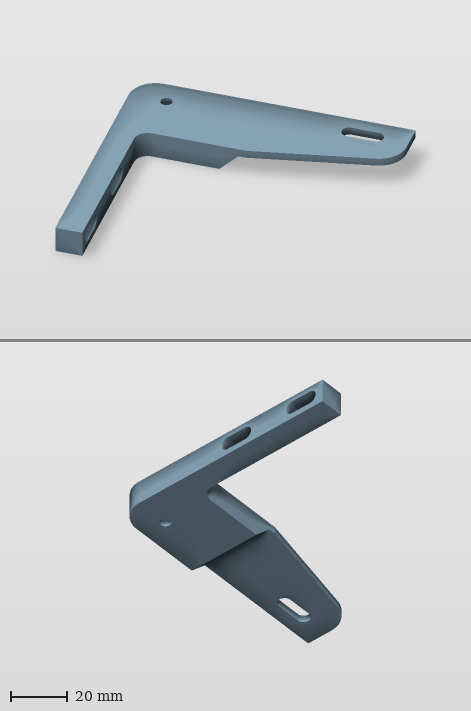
import cadquery as cq

length = 103.0
depth = 95.0
thickness = 10.0
arm_width = 10.0
plate_depth = 30.0
plate_thickness = 3.0
outer_radius = 10.0
inner_radius = 5.0
tip_depth = 19.0
taper_start = 50.0

ramp_start = 40.0
ramp_height = thickness - plate_thickness

pin_diameter = 4.3
pin_x = 14.0
pin_y = -10.0
slot_width = 5.4
plate_slot_length = 15.5
plate_slot_x = 86.0
plate_slot_y = -8.0
arm_slot_length = 13.5
arm_slot_positions = (-55.0, -85.0)


def bracket_body():
    """Full-thickness L-shaped body with a tapered free end and rounded corners."""
    body = (
        cq.Workplane("XY")
        .polyline([
            (0, 0),
            (length, 0),
            (length, -tip_depth),
            (taper_start, -plate_depth),
            (arm_width, -plate_depth),
            (arm_width, -depth),
            (0, -depth),
        ])
        .close()
        .extrude(-thickness)
    )
    mid_height = -thickness / 2
    for x, y, radius in (
        (0, 0, outer_radius),
        (length, -tip_depth, outer_radius),
        (arm_width, -plate_depth, inner_radius),
    ):
        corner = cq.selectors.NearestToPointSelector((x, y, mid_height))
        body = body.edges("|Z").edges(corner).fillet(radius)
    return body


def underside_relief():
    """Material removed below the thin plate, starting with the ramp."""
    return (
        cq.Workplane("XZ")
        .polyline([
            (ramp_start, -thickness),
            (ramp_start + ramp_height, -plate_thickness),
            (length, -plate_thickness),
            (length, -thickness),
        ])
        .close()
        .extrude(depth)
    )


def plate_openings():
    """Round hole near the corner and slot near the free end, both along Z."""
    pin_hole = cq.Workplane("XY").center(pin_x, pin_y).circle(pin_diameter / 2).extrude(-thickness)
    slot = (
        cq.Workplane("XY")
        .center(plate_slot_x, plate_slot_y)
        .slot2D(plate_slot_length, slot_width)
        .extrude(-thickness)
    )
    return pin_hole.union(slot)


def arm_slots():
    """Slots passing through the arm along X."""
    centers = [(y, -thickness / 2) for y in arm_slot_positions]
    return (
        cq.Workplane("YZ")
        .pushPoints(centers)
        .slot2D(arm_slot_length, slot_width)
        .extrude(arm_width)
    )


result = bracket_body().cut(underside_relief()).cut(plate_openings()).cut(arm_slots())